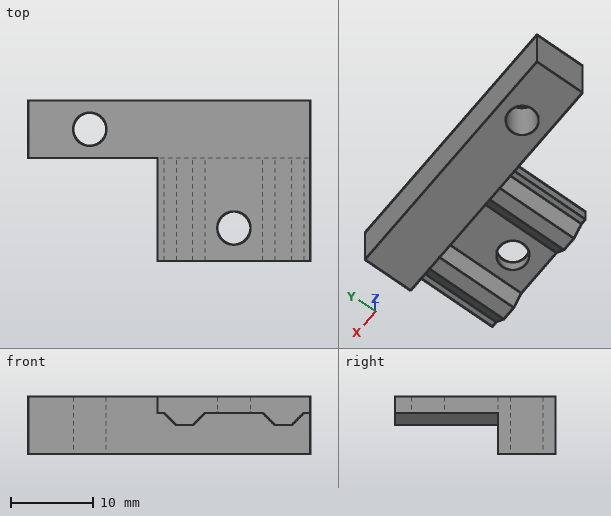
import cadquery as cq

length = 34.3
depth = 19.5
height = 7.0

bar_depth = 7.0
bar_front = depth - bar_depth

plate_width = 18.6
plate_thickness = 2.0
plate_left = length - plate_width
plate_middle = plate_left + plate_width / 2
plate_bottom = height - plate_thickness

ridge_pitch = 12.0
ridge_height = 1.5
ridge_tip_width = 2.0
ridge_root_width = ridge_tip_width + 2 * ridge_height

hole_diameter = 4.0
bar_hole = (7.5, bar_front + bar_depth / 2)
plate_hole = (plate_middle, 4.0)


def make_bar():
    return cq.Workplane("XY").box(length, bar_depth, height, centered=False).translate((0, bar_front, 0))


def make_plate():
    """Plate from the front edge to the back edge, overlapping the bar."""
    plate = cq.Workplane("XY").box(plate_width, depth, plate_thickness, centered=False)
    return plate.translate((plate_left, 0, plate_bottom))


def make_ridge(middle_x):
    """Trapezoidal ridge running from the front edge to the bar."""
    tip_z = plate_bottom - ridge_height
    profile = [
        (middle_x - ridge_root_width / 2, plate_bottom),
        (middle_x - ridge_tip_width / 2, tip_z),
        (middle_x + ridge_tip_width / 2, tip_z),
        (middle_x + ridge_root_width / 2, plate_bottom),
    ]
    return cq.Workplane("XZ").polyline(profile).close().extrude(-bar_front)


def make_holes():
    return cq.Workplane("XY").pushPoints([bar_hole, plate_hole]).circle(hole_diameter / 2).extrude(height)


body = make_bar().union(make_plate())
for side in (-1, 1):
    body = body.union(make_ridge(plate_middle + side * ridge_pitch / 2))

result = body.cut(make_holes())